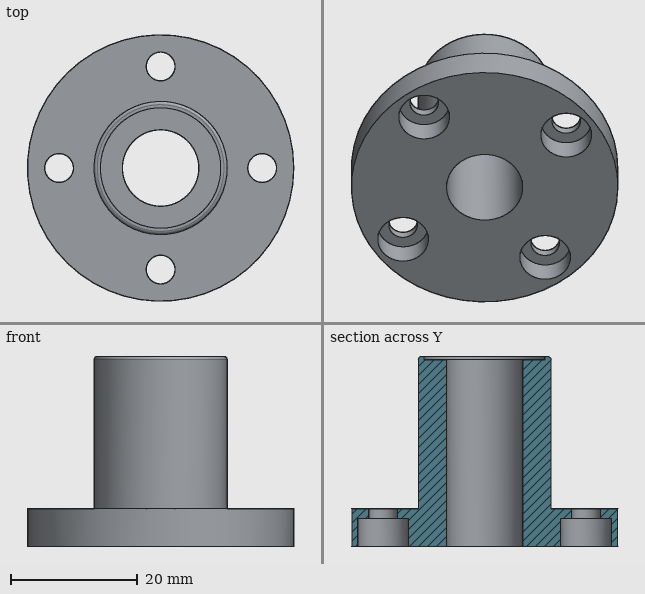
import cadquery as cq

flange_diameter = 42.0
flange_thickness = 6.0
total_height = 30.0

sleeve_diameter = flange_diameter / 2
rim_fillet = 0.5
bore_diameter = 12.0

recess_diameter = 19.0
recess_depth = 0.5

hole_count = 4
hole_circle_diameter = 32.0
hole_diameter = 4.5
counterbore_diameter = 8.0
hole_land_thickness = 1.6
counterbore_depth = flange_thickness - hole_land_thickness


def make_body():
    """Round flange with a sleeve whose top outer edge is rounded."""
    flange = cq.Workplane("XY").circle(flange_diameter / 2).extrude(flange_thickness)
    sleeve = (
        cq.Workplane("XY")
        .circle(sleeve_diameter / 2)
        .extrude(total_height)
        .faces(">Z")
        .edges()
        .fillet(rim_fillet)
    )
    return flange.union(sleeve)


def cut_bore(body):
    """Cut the through bore and the recess around its upper end."""
    return body.faces(">Z").workplane(origin=(0, 0, total_height)).cboreHole(
        bore_diameter, recess_diameter, recess_depth
    )


def cut_mounting_holes(body):
    """Cut the ring of counterbored holes from the underside."""
    return (
        body.faces("<Z")
        .workplane(origin=(0, 0, 0))
        .polarArray(hole_circle_diameter / 2, 0, 360, hole_count)
        .cboreHole(hole_diameter, counterbore_diameter, counterbore_depth, flange_thickness)
    )


result = cut_mounting_holes(cut_bore(make_body()))